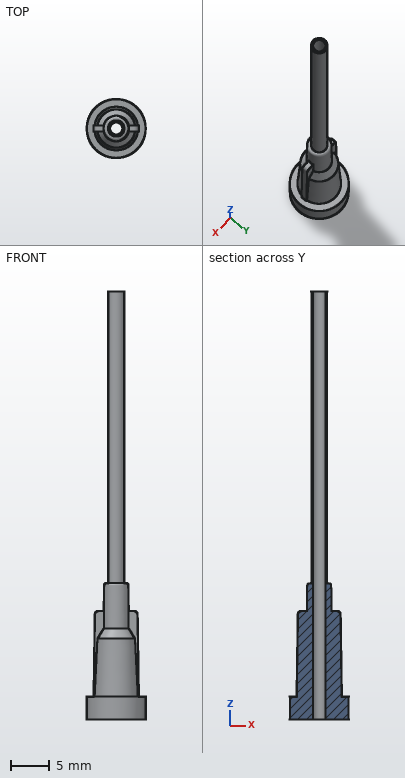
import cadquery as cq

total_height = 55.9
flange_top = 3.0
body_top = 10.55
sleeve_bottom = 11.9
fin_top = 14.2
sleeve_top = 17.85

flange_diameter = 7.7
body_bottom_diameter = 5.7
body_top_diameter = 5.0
sleeve_bottom_diameter = 3.35
sleeve_top_diameter = 3.2
tube_diameter = 2.1
bore_diameter = 1.6
sleeve_rim_round = 0.35

fin_thickness = 0.85
fin_bottom_span = 5.9
fin_top_span = 5.6
fin_corner_round = 0.5


def make_hub():
    """Flange, tapered body, shoulder and sleeve as one revolved solid."""
    profile = (
        cq.Workplane("XZ")
        .lineTo(flange_diameter / 2, 0)
        .lineTo(flange_diameter / 2, flange_top)
        .lineTo(body_bottom_diameter / 2, flange_top)
        .lineTo(body_top_diameter / 2, body_top)
        .lineTo(sleeve_bottom_diameter / 2, sleeve_bottom)
        .lineTo(sleeve_top_diameter / 2, sleeve_top)
        .lineTo(0, sleeve_top)
        .close()
    )
    hub = profile.revolve(360, (0, 0), (0, 1))
    return hub.faces(">Z").edges().fillet(sleeve_rim_round)


def make_fins():
    """One tapered plate through the axis forms both opposite fins."""
    plate = (
        cq.Workplane("XZ")
        .moveTo(-fin_bottom_span / 2, flange_top)
        .lineTo(fin_bottom_span / 2, flange_top)
        .lineTo(fin_top_span / 2, fin_top)
        .lineTo(-fin_top_span / 2, fin_top)
        .close()
        .extrude(fin_thickness / 2, both=True)
    )
    return plate.faces(">Z").edges("|Y").fillet(fin_corner_round)


def make_cylinder(diameter):
    """Full-height cylinder on the part axis."""
    return cq.Workplane("XY").circle(diameter / 2).extrude(total_height)


outer_body = make_hub().union(make_fins()).union(make_cylinder(tube_diameter))
result = outer_body.cut(make_cylinder(bore_diameter))